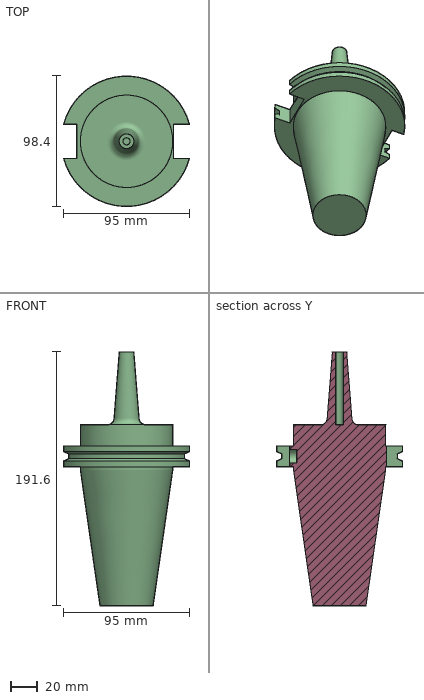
import cadquery as cq
import math

total_height = 191.6
gauge_height = 102.1
flange_bottom = 104.8
flange_top = 120.7
collar_top = 136.6
flange_middle = (flange_bottom + flange_top) / 2

shank_end_radius = 20.1
collar_radius = 34.9
flange_radius = 49.2

groove_depth = 3.6
groove_floor_width = 3.6
groove_mouth_width = 6.9

nose_tip_radius = 5.5
nose_half_angle = 4.5
nose_fillet_radius = 5.0
bore_radius = 2.7
bore_depth = total_height - collar_top

slot_width = 25.7
slot_floor_left = 37.7
slot_floor_right = 35.5

pocket_radius = 5.0
pocket_depth = 5.4


def make_body():
    """Shank, grooved flange and collar as one turned profile."""
    groove_floor_radius = flange_radius - groove_depth
    half_mouth = groove_mouth_width / 2
    half_floor = groove_floor_width / 2
    profile = [
        (0, 0),
        (shank_end_radius, 0),
        (collar_radius, gauge_height),
        (collar_radius, flange_bottom),
        (flange_radius, flange_bottom),
        (flange_radius, flange_middle - half_mouth),
        (groove_floor_radius, flange_middle - half_floor),
        (groove_floor_radius, flange_middle + half_floor),
        (flange_radius, flange_middle + half_mouth),
        (flange_radius, flange_top),
        (collar_radius, flange_top),
        (collar_radius, collar_top),
        (0, collar_top),
    ]
    return cq.Workplane("XZ").polyline(profile).close().revolve(360, (0, 0), (0, 1))


def add_nose(body):
    """Tapered nose on the collar, with a fillet around its foot."""
    nose_length = total_height - collar_top
    nose_foot_radius = nose_tip_radius + nose_length * math.tan(math.radians(nose_half_angle))
    nose = cq.Workplane(
        cq.Solid.makeCone(nose_foot_radius, nose_tip_radius, nose_length, cq.Vector(0, 0, collar_top))
    )
    foot_edge = cq.selectors.RadiusNthSelector(1)
    return body.union(nose).edges(foot_edge).fillet(nose_fillet_radius)


def make_slot(side, floor_distance):
    """Cutter for a driving slot; side is -1 for -X and +1 for +X."""
    slot_depth = flange_radius - floor_distance
    slot_center = side * (floor_distance + slot_depth / 2)
    flange_thickness = flange_top - flange_bottom
    return cq.Workplane("XY").box(slot_depth, slot_width, flange_thickness).translate(
        (slot_center, 0, flange_middle)
    )


def make_bore():
    """Cutter for the blind bore in the nose tip."""
    return cq.Workplane("XY", origin=(0, 0, total_height)).circle(bore_radius).extrude(-bore_depth)


def make_pocket():
    """Cutter for the round pocket, sunk toward +X from the -X slot floor."""
    pocket_plane = cq.Workplane("YZ", origin=(-slot_floor_left, 0, flange_middle))
    return pocket_plane.circle(pocket_radius).extrude(pocket_depth)


result = add_nose(make_body())
result = result.cut(make_slot(-1, slot_floor_left))
result = result.cut(make_slot(1, slot_floor_right))
result = result.cut(make_bore())
result = result.cut(make_pocket())